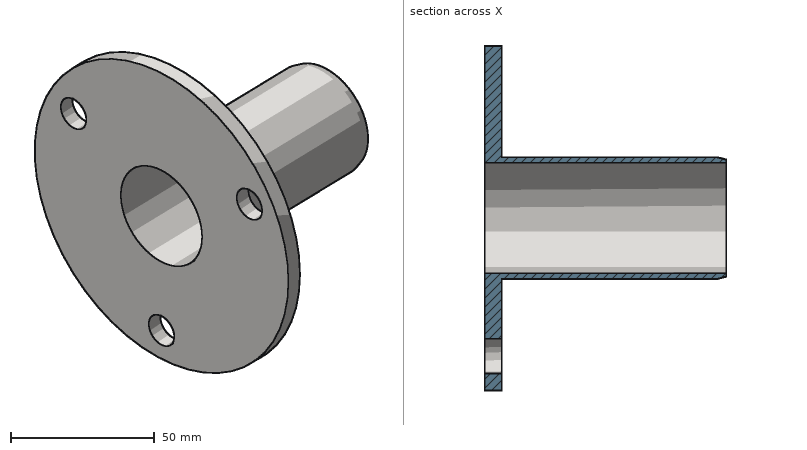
import cadquery as cq

flange_diameter = 120.0
flange_thickness = 6.0

overall_length = 84.0
tube_diameter = 42.4
wall_thickness = 2.0
bore_diameter = tube_diameter - 2 * wall_thickness

taper_length = 3.0
taper_depth = 0.8

hole_count = 3
hole_diameter = 12.0
hole_circle_radius = 48.0
first_hole_angle = -90.0


def cylinder_along_y(diameter, length):
    """Cylinder on the Y axis, from Y = 0 to Y = length."""
    return cq.Workplane("XZ").circle(diameter / 2).extrude(-length)


def make_tube_body():
    """Solid tube blank with its far end tapered."""
    return (
        cylinder_along_y(tube_diameter, overall_length)
        .faces(">Y")
        .edges()
        .chamfer(taper_length, taper_depth)
    )


def make_mounting_holes():
    """Cutters for the holes through the flange."""
    return (
        cq.Workplane("XZ")
        .polarArray(hole_circle_radius, first_hole_angle, 360, hole_count)
        .circle(hole_diameter / 2)
        .extrude(-flange_thickness)
    )


flange = cylinder_along_y(flange_diameter, flange_thickness)
bore = cylinder_along_y(bore_diameter, overall_length)

result = flange.union(make_tube_body()).cut(bore).cut(make_mounting_holes())